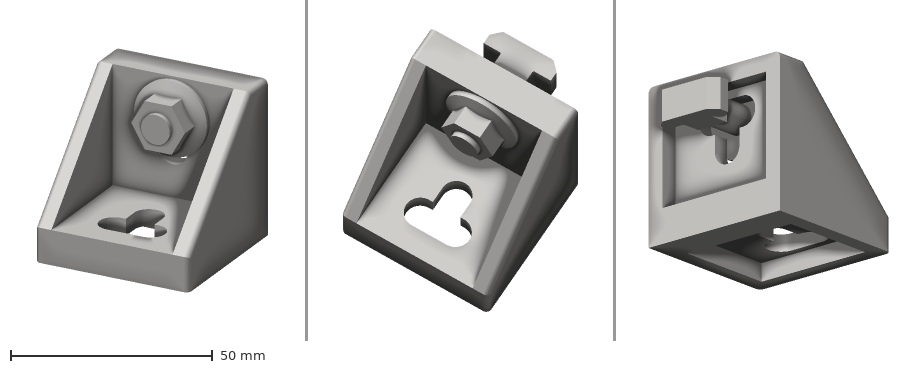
import cadquery as cq
import math

width = 43.0
leg = 42.0
flange = 9.45
wall = 4.55
edge_radius = 1.5
inner_width = width - 2 * wall
pocket_depth = flange - wall

key_centre = 31.1
key_length = 18.4
key_width = 8.2
neck_width = 8.0
neck_end = 18.4

shank_diameter = 8.0
shank_end = 18.9
bolt_reach = 11.3
bolt_thickness = 8.4
head_width = 19.6
head_height = 5.2
head_chamfer = 2.45
head_fillet = 0.5
bolt_neck_width = 9.3
bolt_neck_gap = 0.6

nut_flats = 13.0
nut_height = 8.0
collar_diameter = 20.4
collar_rim = 1.45
collar_height = 2.95


def profile(points):
    """Closed outline in the YZ plane, ready to extrude along X."""
    return cq.Workplane("YZ").polyline(points).close()


def make_body():
    outline = [(0, 0), (-leg, 0), (-leg, flange), (-flange, leg), (0, leg)]
    body = profile(outline).extrude(width / 2, both=True)
    for side in ("<X", ">X"):
        rounded = body.faces(side).edges("<Y or >Z or (not (|Y or |Z))")
        body = body.newObject(rounded.vals()).fillet(edge_radius)
    inside = [(-flange, flange), (-leg, flange), (-flange, leg)]
    return body.cut(profile(inside).extrude(inner_width / 2, both=True))


def make_flange_cut():
    """Underside pocket and keyhole through the lower flange."""
    pocket_length = leg - flange - wall
    pocket = cq.Workplane("XY").box(
        inner_width, pocket_length, pocket_depth, centered=(True, False, False)
    ).translate((0, wall - leg, 0))
    key = (
        cq.Workplane("XY")
        .center(0, -key_centre)
        .slot2D(key_length, key_width)
        .extrude(flange)
    )
    neck_start = key_centre + neck_width / 2
    neck = (
        cq.Workplane("XY")
        .center(0, -(neck_start + neck_end) / 2)
        .slot2D(neck_start - neck_end, neck_width, 90)
        .extrude(flange)
    )
    return pocket.union(key).union(neck)


def make_bolt():
    """T-slot bolt along Y, centred on the Y axis."""
    chamfer_y = bolt_reach - head_chamfer
    seat_y = bolt_reach - head_height
    half_neck = bolt_neck_width / 2
    half_head = head_width / 2
    half_top = half_head - head_chamfer
    head = (
        cq.Workplane("XY")
        .polyline([
            (-half_neck, bolt_neck_gap), (-half_neck, seat_y), (-half_head, seat_y),
            (-half_head, chamfer_y), (-half_top, bolt_reach), (half_top, bolt_reach),
            (half_head, chamfer_y), (half_head, seat_y), (half_neck, seat_y),
            (half_neck, bolt_neck_gap),
        ])
        .close()
        .extrude(bolt_thickness / 2, both=True)
    )
    corner_zone = cq.selectors.BoxSelector(
        (-half_neck - head_fillet, seat_y - head_fillet, -bolt_thickness),
        (half_neck + head_fillet, seat_y + head_fillet, bolt_thickness),
    )
    head = head.edges("|Z").edges(corner_zone).fillet(head_fillet)
    shank = (
        cq.Workplane("XZ", origin=(0, bolt_neck_gap, 0))
        .circle(shank_diameter / 2)
        .extrude(shank_end + bolt_neck_gap)
    )
    return head.union(shank)


def make_nut():
    """Hexagon nut with a conical collar, seated on the inner face of the upright flange."""
    seat = cq.Workplane("XZ", origin=(0, -flange, 0))
    across_corners = nut_flats / math.cos(math.pi / 6)
    hexagon = seat.polygon(6, across_corners).extrude(nut_height)
    collar = (
        cq.Workplane("XY", origin=(0, -flange, 0))
        .polyline([
            (0, 0), (collar_diameter / 2, 0), (collar_diameter / 2, -collar_rim),
            (nut_flats / 2, -collar_height), (0, -collar_height),
        ])
        .close()
        .revolve(360, (0, 0, 0), (0, 1, 0))
    )
    return collar.union(hexagon)


lower_cut = make_flange_cut()
upper_cut = lower_cut.rotate((0, 0, 0), (0, -1, 1), 180)
bracket = make_body().cut(lower_cut).cut(upper_cut)

fastener = make_bolt().union(make_nut()).translate((0, 0, key_centre))
result = bracket.union(fastener)